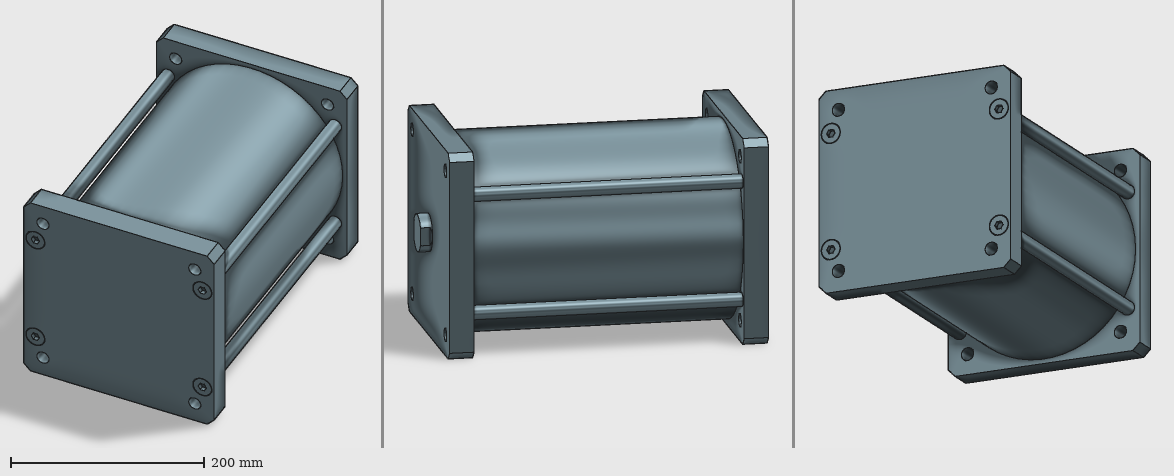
import cadquery as cq

total_length = 349.0
plate_width = 220.0
plate_thickness = 26.0
corner_chamfer = 8.0
rod_projection = 12.2

barrel_diameter = 210.0

mounting_hole_diameter = 14.0
mounting_hole_offset = 87.5

tie_rod_diameter = 15.0
tie_rod_x = 96.3
tie_rod_z = 63.0
counterbore_diameter = 22.0
screw_head_diameter = 21.0
counterbore_depth = 14.0
socket_across_corners = 9.5
socket_depth = 5.2

piston_rod_diameter = 40.0
across_flats = 35.2
flat_runout = 2.27
rod_chamfer_length = 1.5
rod_chamfer_depth = 0.5

front_y = -total_length / 2
rear_y = total_length / 2 - rod_projection
barrel_length = rear_y - front_y - 2 * plate_thickness

tie_rod_points = [(sx * tie_rod_x, sz * tie_rod_z) for sx in (-1, 1) for sz in (-1, 1)]
mounting_points = [
    (sx * mounting_hole_offset, sz * mounting_hole_offset) for sx in (-1, 1) for sz in (-1, 1)
]


def section_plane(y):
    """Workplane at position y whose local axes are X and Z, with its normal along -Y."""
    return cq.Workplane("XZ", origin=(0, y, 0))


def end_plate(start_y):
    """Square plate with chamfered corners and mounting holes, running from start_y toward +Y."""
    plate = section_plane(start_y).rect(plate_width, plate_width).extrude(-plate_thickness)
    plate = plate.edges("|Y").chamfer(corner_chamfer)
    holes = section_plane(start_y).pushPoints(mounting_points)
    return plate.cut(holes.circle(mounting_hole_diameter / 2).extrude(-plate_thickness))


def tie_rods():
    """Four rods spanning the gap between the plates."""
    rods = section_plane(front_y + plate_thickness).pushPoints(tie_rod_points)
    return rods.circle(tie_rod_diameter / 2).extrude(-barrel_length)


def screw_clearances():
    """Ring-shaped gaps around the screw heads, open at the front face."""
    rings = section_plane(front_y).pushPoints(tie_rod_points)
    rings = rings.circle(counterbore_diameter / 2).circle(screw_head_diameter / 2)
    return rings.extrude(-counterbore_depth)


def screw_sockets():
    """Hexagon sockets in the screw heads."""
    sockets = section_plane(front_y).pushPoints(tie_rod_points)
    return sockets.polygon(6, socket_across_corners).extrude(-socket_depth)


def piston_rod_end():
    """Rod stub behind the rear plate, with a pair of flats cut to its free end."""
    rod = section_plane(rear_y).circle(piston_rod_diameter / 2).extrude(-rod_projection)
    rod = rod.faces(">Y").chamfer(rod_chamfer_length, rod_chamfer_depth)
    half_flats = across_flats / 2
    half_base = half_flats + flat_runout
    flat_y = rear_y + flat_runout
    end_y = rear_y + rod_projection
    flats_outline = [
        (-half_base, rear_y),
        (half_base, rear_y),
        (half_flats, flat_y),
        (half_flats, end_y),
        (-half_flats, end_y),
        (-half_flats, flat_y),
    ]
    between_flats = cq.Workplane("XY").polyline(flats_outline).close()
    return rod.intersect(between_flats.extrude(piston_rod_diameter / 2, both=True))


barrel = section_plane(front_y + plate_thickness).circle(barrel_diameter / 2).extrude(-barrel_length)

result = (
    end_plate(front_y)
    .union(barrel)
    .union(end_plate(rear_y - plate_thickness))
    .union(tie_rods())
    .union(piston_rod_end())
    .cut(screw_clearances())
    .cut(screw_sockets())
)